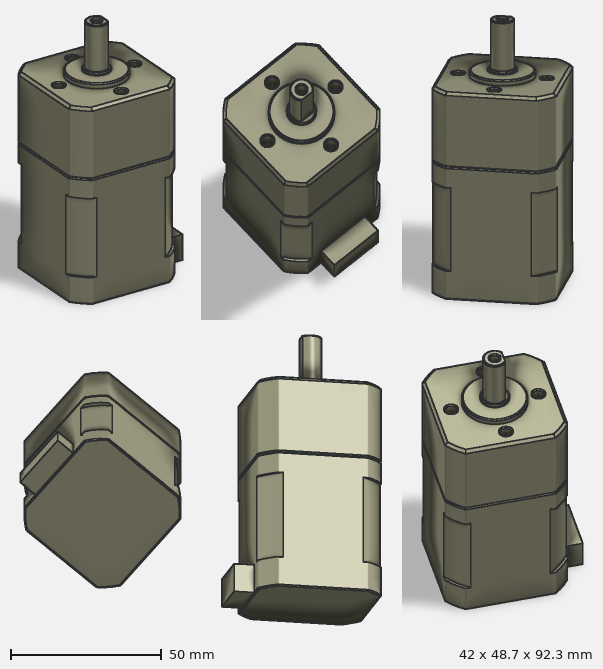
import cadquery as cq
import math

TOTAL_HEIGHT = 92.3
REAR_CAP_TOP = 10.0
STATOR_TOP = 39.1
MOTOR_TOP = 46.3
GEARBOX_TOP = 72.5
BOSS_TOP = 74.4
COLLAR_TOP = 75.2

BODY_WIDTH = 42.0
CAP_CORNER_RADIUS = 26.0
STATOR_CORNER_RADIUS = 25.0
CORNER_BLEND = 1.4
SMALL_CHAMFER = 0.5
FACE_CHAMFER = 1.0

CONNECTOR_WIDTH = 19.2
CONNECTOR_REACH = 6.7
CONNECTOR_ROOT = 1.8

BOSS_DIAMETER = 22.0
MOUNT_CIRCLE_RADIUS = 14.95
MOUNT_HOLE_DIAMETER = 4.0
MOUNT_HOLE_DEPTH = 10.0
MOUNT_HOLE_COUNT = 4

SHAFT_DIAMETER = 7.9
COLLAR_DIAMETER = 10.0
FLAT_OFFSET = 2.95
SHAFT_CHAMFER = 0.4
SHAFT_HOLE_DIAMETER = 3.2
SHAFT_HOLE_DEPTH = 10.0

EDGE_BREAK = 0.5


def body_block(bottom, top, corner_radius, bottom_chamfer=0, top_chamfer=0):
    """Square block between two heights, its corners rounded by a coaxial cylinder."""
    base = cq.Workplane("XY").workplane(offset=bottom)
    square = base.rect(BODY_WIDTH, BODY_WIDTH).extrude(top - bottom)
    cylinder = base.circle(corner_radius).extrude(top - bottom)
    if bottom_chamfer:
        square = square.faces("<Z").chamfer(bottom_chamfer)
        cylinder = cylinder.faces("<Z").chamfer(bottom_chamfer)
    if top_chamfer:
        square = square.faces(">Z").chamfer(top_chamfer)
        cylinder = cylinder.faces(">Z").chamfer(top_chamfer)
    return square.intersect(cylinder)


def blind_hole(x, y, top, diameter, depth):
    """Cutter for a flat-bottomed hole with a chamfered mouth at height top."""
    hole = cq.Workplane("XY", origin=(x, y, top - depth)).circle(diameter / 2).extrude(depth)
    mouth = (
        cq.Workplane("XY", origin=(x, y, top))
        .circle(diameter / 2 + EDGE_BREAK)
        .workplane(offset=-EDGE_BREAK)
        .circle(diameter / 2)
        .loft()
    )
    return hole.union(mouth)


def build_motor():
    """Stepper motor: two end caps around the stator, with a connector on the rear cap."""
    rear_cap = body_block(0, REAR_CAP_TOP, CAP_CORNER_RADIUS, bottom_chamfer=SMALL_CHAMFER)
    rear_cap = rear_cap.edges("|Z").fillet(CORNER_BLEND)
    stator = body_block(REAR_CAP_TOP, STATOR_TOP, STATOR_CORNER_RADIUS)
    front_cap = body_block(STATOR_TOP, MOTOR_TOP, CAP_CORNER_RADIUS, top_chamfer=SMALL_CHAMFER)
    front_cap = front_cap.edges("|Z").fillet(CORNER_BLEND)
    connector = cq.Workplane("XY").box(
        CONNECTOR_WIDTH,
        CONNECTOR_REACH + CONNECTOR_ROOT,
        REAR_CAP_TOP - SMALL_CHAMFER,
        centered=(True, False, False),
    )
    connector = connector.translate((0, BODY_WIDTH / 2 - CONNECTOR_ROOT, SMALL_CHAMFER))
    return rear_cap.union(connector).union(stator, clean=False).union(front_cap, clean=False)


def build_gearbox():
    """Gearbox housing with a round boss and four mounting holes in its front face."""
    housing = body_block(MOTOR_TOP, GEARBOX_TOP, CAP_CORNER_RADIUS, SMALL_CHAMFER, FACE_CHAMFER)
    housing = housing.edges("|Z").fillet(CORNER_BLEND)
    boss = (
        cq.Workplane("XY", origin=(0, 0, GEARBOX_TOP))
        .circle(BOSS_DIAMETER / 2)
        .extrude(BOSS_TOP - GEARBOX_TOP)
        .faces(">Z")
        .chamfer(EDGE_BREAK)
    )
    housing = housing.union(boss)
    for index in range(MOUNT_HOLE_COUNT):
        angle = index * 2 * math.pi / MOUNT_HOLE_COUNT
        x = MOUNT_CIRCLE_RADIUS * math.cos(angle)
        y = MOUNT_CIRCLE_RADIUS * math.sin(angle)
        housing = housing.cut(blind_hole(x, y, GEARBOX_TOP, MOUNT_HOLE_DIAMETER, MOUNT_HOLE_DEPTH))
    return housing


def build_shaft():
    """Output shaft standing on the boss: a collar and a D-shaped journal with a centre hole."""
    collar = (
        cq.Workplane("XY", origin=(0, 0, BOSS_TOP))
        .circle(COLLAR_DIAMETER / 2)
        .extrude(COLLAR_TOP - BOSS_TOP)
        .faces(">Z")
        .chamfer(EDGE_BREAK)
    )
    journal_length = TOTAL_HEIGHT - COLLAR_TOP
    journal = (
        cq.Workplane("XY", origin=(0, 0, COLLAR_TOP))
        .circle(SHAFT_DIAMETER / 2)
        .extrude(journal_length)
        .faces(">Z")
        .chamfer(SHAFT_CHAMFER)
    )
    flat_cut = cq.Workplane("XY", origin=(0, FLAT_OFFSET, COLLAR_TOP)).box(
        SHAFT_DIAMETER, SHAFT_DIAMETER, journal_length, centered=(True, False, False)
    )
    shaft = collar.union(journal.cut(flat_cut))
    return shaft.cut(blind_hole(0, 0, TOTAL_HEIGHT, SHAFT_HOLE_DIAMETER, SHAFT_HOLE_DEPTH))


motor = build_motor()
gearbox = build_gearbox()
shaft = build_shaft()

result = cq.Compound.makeCompound([motor.val(), gearbox.val(), shaft.val()])